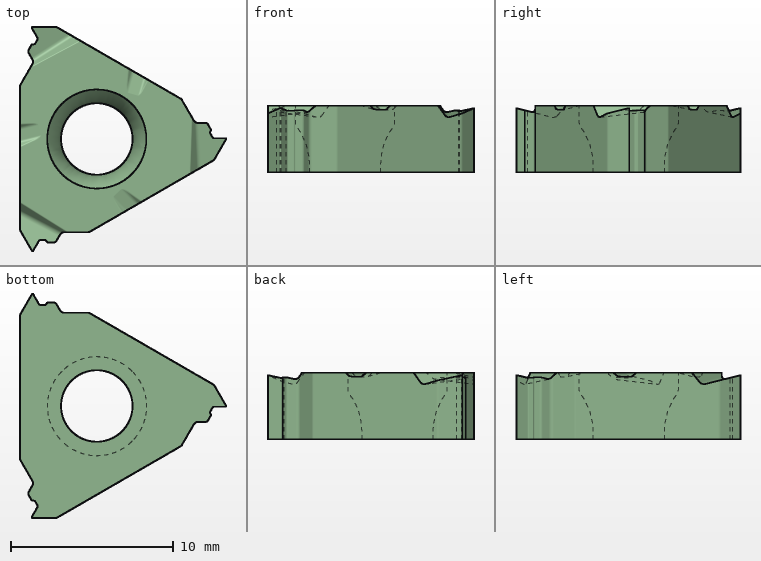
import cadquery as cq
import math

CORNERS = 3
THICKNESS = 4.11
CUT_REACH = 11.07

SIDE_DISTANCE = 4.75
SHOULDER_DISTANCE = 5.76
FLANK_DISTANCE = 6.92
THREAD_ANGLE = math.radians(60)
THREAD_FLANK_OFFSET = 0.05
ROOT_DISTANCE = 6.24
CREST_DISTANCE = 6.4
STEP_TOP_X = -3.15
CREST_START_X = -3.05
CREST_END_X = -2.55

FLANK_CORNER_RADIUS = 0.33
TIP_RADIUS = 0.05
ROOT_RADIUS = 0.1
STEP_RADIUS = 0.1
CREST_RADIUS = 0.2
SHOULDER_RADIUS = 0.29
HEEL_RADIUS = 0.25

BORE_RADIUS = 4.4 / 2
SEAT_RADIUS = 3.06
THROAT_RADIUS = 3.74
THROAT_END_DEPTH = 3.57
SEAT_FILLET = 0.35

RAKE_SLOPE = 0.25
TIP_DEPTH = 0.15
WALL_START_Y = -3.85
WALL_DIRECTION = -32.0
WALL_ANGLE = math.radians(55)
WALL_EDGE_RADIUS = 0.1
GROOVE_RADIUS = 0.3

NOTCH_CENTRE_Y = 0.25
NOTCH_DIRECTION = 14.0
NOTCH_LENGTH = 1.27
NOTCH_DEPTH = 0.25
NOTCH_FLOOR_WIDTH = 0.85
NOTCH_WALL_ANGLE = math.radians(45)
NOTCH_FLOOR_RADIUS = 0.29
NOTCH_RIM_RADIUS = 0.14


def rotated(x, y, degrees):
    turn = math.radians(degrees)
    return (x * math.cos(turn) - y * math.sin(turn), x * math.sin(turn) + y * math.cos(turn))


def corner_vertices():
    """Sharp outline vertices of one corner with their rounding radii, anticlockwise."""
    sine, cosine = math.sin(THREAD_ANGLE), math.cos(THREAD_ANGLE)
    flank_corner_y = -(FLANK_DISTANCE - SIDE_DISTANCE * sine) / cosine
    tip_y = -(FLANK_DISTANCE + THREAD_FLANK_OFFSET) / (2 * cosine)
    tip_x = (THREAD_FLANK_OFFSET - FLANK_DISTANCE) / (2 * sine)
    root_x = (THREAD_FLANK_OFFSET - ROOT_DISTANCE * cosine) / sine
    shoulder_x = CREST_END_X + (CREST_DISTANCE - SHOULDER_DISTANCE) / math.tan(THREAD_ANGLE)
    heel_x = (SIDE_DISTANCE - SHOULDER_DISTANCE * sine) / cosine
    return [
        (-SIDE_DISTANCE, flank_corner_y, FLANK_CORNER_RADIUS),
        (tip_x, tip_y, TIP_RADIUS),
        (root_x, -ROOT_DISTANCE, ROOT_RADIUS),
        (STEP_TOP_X, -ROOT_DISTANCE, STEP_RADIUS),
        (CREST_START_X, -CREST_DISTANCE, STEP_RADIUS),
        (CREST_END_X, -CREST_DISTANCE, CREST_RADIUS),
        (shoulder_x, -SHOULDER_DISTANCE, SHOULDER_RADIUS),
        (heel_x, -SHOULDER_DISTANCE, HEEL_RADIUS),
    ]


def insert_body():
    """Prism with the toothed outline and rounded upright edges."""
    vertices = []
    for i in range(CORNERS):
        for x, y, radius in corner_vertices():
            vertices.append((rotated(x, y, 360 / CORNERS * i), radius))
    body = cq.Workplane("XY").polyline([point for point, _ in vertices]).close().extrude(THICKNESS)
    for (x, y), radius in vertices:
        upright_edge = cq.selectors.NearestToPointSelector((x, y, THICKNESS / 2))
        body = body.edges(upright_edge).fillet(radius)
    return body


def screw_hole():
    """Straight seat, flared throat and straight bore, revolved about Z."""
    throat_centre = BORE_RADIUS + THROAT_RADIUS

    def throat_height(radius):
        return math.sqrt(THROAT_RADIUS**2 - (throat_centre - radius)**2)

    bore_top = THICKNESS - THROAT_END_DEPTH
    middle_radius = (BORE_RADIUS + SEAT_RADIUS) / 2
    hole = (
        cq.Workplane("XZ")
        .moveTo(0, 0)
        .lineTo(BORE_RADIUS, 0)
        .lineTo(BORE_RADIUS, bore_top)
        .threePointArc(
            (middle_radius, bore_top + throat_height(middle_radius)),
            (SEAT_RADIUS, bore_top + throat_height(SEAT_RADIUS)),
        )
        .lineTo(SEAT_RADIUS, THICKNESS)
        .lineTo(0, THICKNESS)
        .close()
        .revolve(360, (0, 0), (0, 1))
    )
    seat_foot = cq.selectors.NearestToPointSelector((0, 0, bore_top + throat_height(SEAT_RADIUS)))
    return hole.edges(seat_foot).fillet(SEAT_FILLET)


def chip_breaker():
    """Space above the sloping rake face, closed inward by a steep wall and a groove fillet."""
    outer_y = -CUT_REACH

    def rake_height(y):
        return THICKNESS - TIP_DEPTH - RAKE_SLOPE * (y + FLANK_DISTANCE)

    above_rake = (
        cq.Workplane("YZ")
        .polyline([
            (outer_y, rake_height(outer_y)),
            (0, rake_height(0)),
            (0, THICKNESS + CUT_REACH),
            (outer_y, THICKNESS + CUT_REACH),
        ])
        .close()
        .extrude(CUT_REACH, both=True)
    )

    along_wall = rotated(1, 0, WALL_DIRECTION)
    wall_plane = cq.Plane(
        origin=(-SIDE_DISTANCE, WALL_START_Y, THICKNESS),
        xDir=(along_wall[1], -along_wall[0], 0),
        normal=(-along_wall[0], -along_wall[1], 0),
    )

    def edge_round_point(turn):
        return (WALL_EDGE_RADIUS * math.sin(turn), WALL_EDGE_RADIUS * (math.cos(turn) - 1))

    round_end = edge_round_point(WALL_ANGLE)
    wall_foot = (round_end[0] + THICKNESS / math.tan(WALL_ANGLE), round_end[1] - THICKNESS)
    outside_wall = (
        cq.Workplane(wall_plane)
        .moveTo(0, 0)
        .threePointArc(edge_round_point(WALL_ANGLE / 2), round_end)
        .lineTo(*wall_foot)
        .lineTo(CUT_REACH, wall_foot[1])
        .lineTo(CUT_REACH, THICKNESS)
        .lineTo(0, THICKNESS)
        .close()
        .extrude(CUT_REACH, both=True)
    )
    rake_normal = cq.Vector(0, RAKE_SLOPE, 1)
    outward = wall_plane.xDir
    wall_normal = cq.Vector(outward.x, outward.y, 1 / math.tan(WALL_ANGLE))
    groove_line = cq.selectors.ParallelDirSelector(rake_normal.cross(wall_normal))
    return above_rake.intersect(outside_wall).edges(groove_line).fillet(GROOVE_RADIUS)


def side_notch():
    """Trapezoidal groove whose floor climbs from the long side up to the top face."""
    axis = rotated(NOTCH_LENGTH, 0, NOTCH_DIRECTION)
    across = rotated(0, 1, NOTCH_DIRECTION)
    wall_run = CUT_REACH / math.tan(NOTCH_WALL_ANGLE)
    half_floor = NOTCH_FLOOR_WIDTH / 2
    section_plane = cq.Plane(
        origin=(-SIDE_DISTANCE, NOTCH_CENTRE_Y, THICKNESS - NOTCH_DEPTH),
        xDir=(across[0], across[1], 0),
        normal=(axis[0], axis[1], NOTCH_DEPTH),
    )
    notch = (
        cq.Workplane(section_plane)
        .polyline([
            (-half_floor, 0),
            (half_floor, 0),
            (half_floor + wall_run, CUT_REACH),
            (-half_floor - wall_run, CUT_REACH),
        ])
        .close()
        .extrude(NOTCH_LENGTH * 2, both=True)
    )
    for side in (-half_floor, half_floor):
        wall_foot = section_plane.toWorldCoords((side, 0, 0))
        foot_edge = cq.selectors.NearestToPointSelector(wall_foot.toTuple())
        notch = notch.edges(foot_edge).fillet(NOTCH_FLOOR_RADIUS)
    return notch


def round_notch_rims(body):
    """Round the edges where the notches meet the top face."""
    half_run = rotated(NOTCH_LENGTH / 2, 0, NOTCH_DIRECTION)
    middle = (half_run[0] - SIDE_DISTANCE, half_run[1] + NOTCH_CENTRE_Y)
    for i in range(CORNERS):
        x, y = rotated(*middle, 360 / CORNERS * i)
        around_notch = cq.selectors.BoxSelector(
            (x - NOTCH_FLOOR_WIDTH, y - NOTCH_FLOOR_WIDTH, THICKNESS - NOTCH_DEPTH),
            (x + NOTCH_FLOOR_WIDTH, y + NOTCH_FLOOR_WIDTH, THICKNESS + NOTCH_DEPTH),
        )
        body = body.faces(">Z").edges(around_notch).fillet(NOTCH_RIM_RADIUS)
    return body


def cut_at_corners(body, cutter):
    """Remove the cutter from the body at every corner."""
    for i in range(CORNERS):
        body = body.cut(cutter.rotate((0, 0, 0), (0, 0, 1), 360 / CORNERS * i))
    return body


result = insert_body().cut(screw_hole())
result = cut_at_corners(result, side_notch())
result = round_notch_rims(result)
result = cut_at_corners(result, chip_breaker())